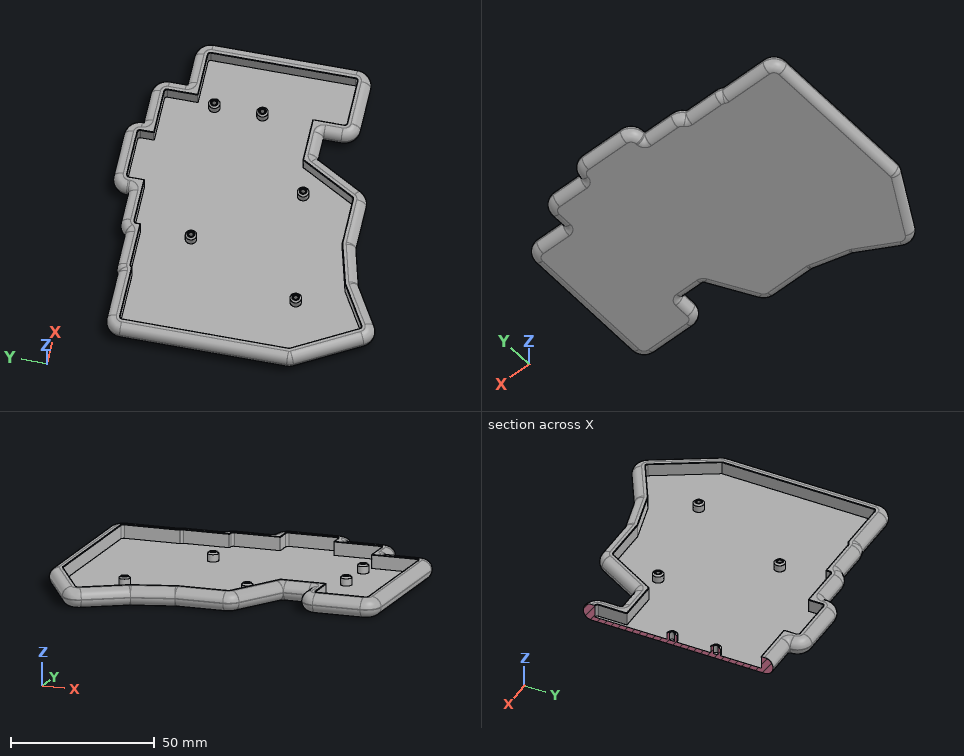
import cadquery as cq
import math

case_height = 7.0
floor_thickness = 2.0
wall_offset = 4.5
rim_radius = 3.4
inner_bend_radius = 0.1
cavity_inset = 0.25
mouth_chamfer = 0.2
corner_radius = 1.2

column_pitch = 18.0
right_x = 56.73
left_x = -right_x
right_column_x = 38.93
middle_right_x = 20.73
middle_left_x = 0.73
ring_x = middle_left_x - column_pitch
pinky_x = ring_x - column_pitch

outer_pinky_top = 37.0
pinky_top = 37.75
ring_top = 40.1
middle_top = 46.455
index_top = 40.7
inner_top = 28.9

tab_left_x = 36.73
tab_bottom = -24.7
notch_top = -12.7
thumb_bottom = -33.0
notch_corner_x = 20.2
thumb_bend_x = -10.55
thumb_key_run = 16.1
thumb_lowest = -46.455
fan_step = math.radians(15)

post_diameter = 4.0
post_height = 3.25
post_chamfer = 0.65
hole_diameter = 1.62
hole_mouth_diameter = 2.07
hole_mouth_angle = 90
post_centers = [(-16.6, 19.7), (37.8, 22.7), (37.8, 5.6), (8.6, -14.9), (-34.5, -21.2)]

slope_run = (notch_top - thumb_bottom) / math.tan(4 * fan_step)
thumb_right_x = notch_corner_x - slope_run
fan_x = thumb_bend_x - thumb_key_run
fan_y = thumb_bottom - thumb_key_run * math.tan(fan_step)
thumb_tip_y = thumb_lowest + corner_radius - corner_radius * math.sqrt(2) * math.cos(fan_step)
thumb_tip_x = fan_x - (fan_y - thumb_tip_y) / math.tan(2 * fan_step)
left_bottom = thumb_tip_y + (thumb_tip_x - left_x) * math.tan(4 * fan_step)

step_center_x = pinky_x + corner_radius
step_center_y = pinky_top - corner_radius
step_start_x = step_center_x - math.sqrt(corner_radius**2 - (outer_pinky_top - step_center_y) ** 2)
diagonal = corner_radius / math.sqrt(2)

outline_corners = [
    (ring_x, pinky_top, False),
    (ring_x, ring_top, True),
    (middle_left_x, ring_top, False),
    (middle_left_x, middle_top, True),
    (middle_right_x, middle_top, True),
    (middle_right_x, index_top, False),
    (right_column_x, index_top, True),
    (right_column_x, inner_top, False),
    (right_x, inner_top, True),
    (right_x, tab_bottom, True),
    (tab_left_x, tab_bottom, True),
    (tab_left_x, notch_top, False),
    (notch_corner_x, notch_top, False),
    (thumb_right_x, thumb_bottom, True),
    (thumb_bend_x, thumb_bottom, False),
    (fan_x, fan_y, False),
    (thumb_tip_x, thumb_tip_y, True),
    (left_x, left_bottom, False),
    (left_x, outer_pinky_top, True),
]


def case_outline():
    start = (step_start_x, outer_pinky_top)
    outline = cq.Workplane("XY").moveTo(*start).threePointArc(
        (step_center_x - diagonal, step_center_y + diagonal), (step_center_x, pinky_top)
    )
    points = [(x, y) for x, y, _ in outline_corners]
    before = [(step_center_x, pinky_top)] + points[:-1]
    after = points[1:] + [start]
    for (x, y, rounded), previous, following in zip(outline_corners, before, after):
        if not rounded:
            outline = outline.lineTo(x, y)
            continue
        corner = cq.Vector(x, y)
        back = (cq.Vector(*previous) - corner).normalized()
        ahead = (cq.Vector(*following) - corner).normalized()
        half_angle = back.getAngle(ahead) / 2
        tangent_length = corner_radius / math.tan(half_angle)
        arc_start = corner + back * tangent_length
        arc_end = corner + ahead * tangent_length
        arc_depth = corner_radius / math.sin(half_angle) - corner_radius
        arc_middle = corner + (back + ahead).normalized() * arc_depth
        outline = outline.lineTo(arc_start.x, arc_start.y)
        outline = outline.threePointArc((arc_middle.x, arc_middle.y), (arc_end.x, arc_end.y))
    return outline.close()


def case_shell():
    outline = case_outline().offset2D(wall_offset + inner_bend_radius, "arc")
    outline = outline.offset2D(-inner_bend_radius, "arc")
    body = outline.extrude(case_height).faces("<Z or >Z").edges().fillet(rim_radius)
    cavity = case_outline().offset2D(-cavity_inset, "arc").extrude(case_height - floor_thickness)
    body = body.cut(cavity.translate((0, 0, floor_thickness)))
    return body.faces(">Z").wires(cq.selectors.AreaNthSelector(0)).chamfer(mouth_chamfer)


def screw_post(center):
    post = (
        cq.Workplane("XY", origin=(*center, floor_thickness))
        .circle(post_diameter / 2)
        .extrude(post_height)
        .faces(">Z")
        .chamfer(post_chamfer)
    )
    return (
        post.faces(">Z")
        .workplane()
        .cskHole(hole_diameter, hole_mouth_diameter, hole_mouth_angle, post_height)
    )


result = case_shell()
for post_center in post_centers:
    result = result.union(screw_post(post_center))